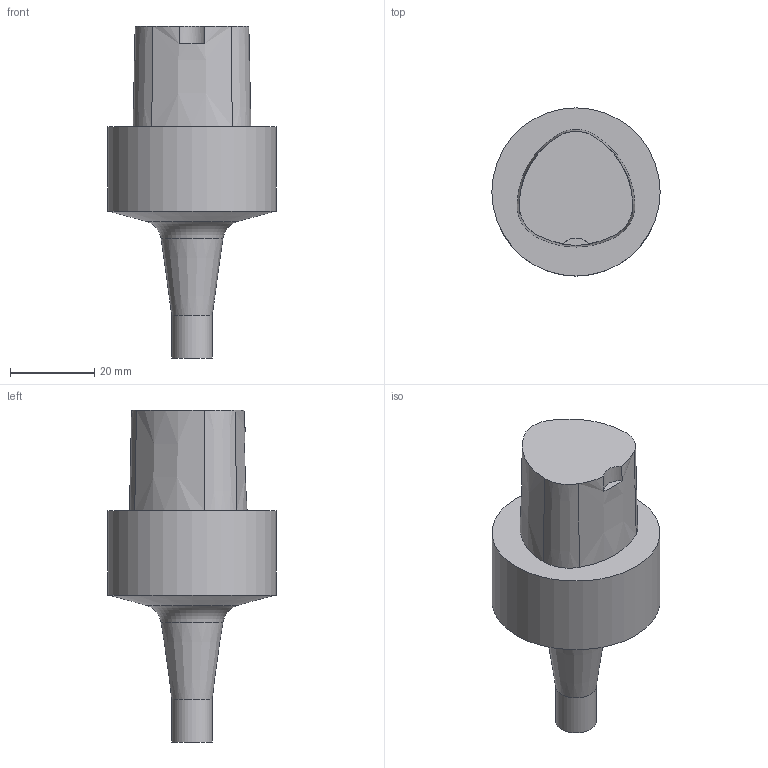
import cadquery as cq
import math

total_height = 78.95
head_height = 24.0
collar_height = 20.0
tip_length = 10.2
collar_top_z = total_height - head_height
cone_top_z = collar_top_z - collar_height

tip_radius = 9.6 / 2
collar_radius = 40.0 / 2
stem_half_angle = math.radians(8.0)
underside_angle = math.radians(15.0)
neck_fillet_radius = 5.0

side_reach = 13.1
lobe_reach = 14.87
side_arc_radius = 20.0
head_draft = 1.2
lobe_count = 3

notch_radius = 4.0
notch_depth = 4.2
notch_axis_offset = 15.0


def turned_body():
    """Tip, tapered stem, filleted neck, conical underside and collar as one revolved shape."""
    stem_slope = math.tan(stem_half_angle)
    underside_slope = math.tan(underside_angle)
    corner_r = (
        tip_radius + stem_slope * (cone_top_z - tip_length - collar_radius * underside_slope)
    ) / (1 - stem_slope * underside_slope)
    corner_z = cone_top_z - (collar_radius - corner_r) * underside_slope

    turn = math.pi / 2 - underside_angle - stem_half_angle
    tangent_length = neck_fillet_radius * math.tan(turn / 2)
    stem_tangent = (
        corner_r - tangent_length * math.sin(stem_half_angle),
        corner_z - tangent_length * math.cos(stem_half_angle),
    )
    underside_tangent = (
        corner_r + tangent_length * math.cos(underside_angle),
        corner_z + tangent_length * math.sin(underside_angle),
    )
    center_r = stem_tangent[0] + neck_fillet_radius * math.cos(stem_half_angle)
    center_z = stem_tangent[1] - neck_fillet_radius * math.sin(stem_half_angle)
    middle_angle = math.pi - stem_half_angle - turn / 2
    fillet_middle = (
        center_r + neck_fillet_radius * math.cos(middle_angle),
        center_z + neck_fillet_radius * math.sin(middle_angle),
    )

    return (
        cq.Workplane("XZ")
        .moveTo(0, 0)
        .lineTo(tip_radius, 0)
        .lineTo(tip_radius, tip_length)
        .lineTo(*stem_tangent)
        .threePointArc(fillet_middle, underside_tangent)
        .lineTo(collar_radius, cone_top_z)
        .lineTo(collar_radius, collar_top_z)
        .lineTo(0, collar_top_z)
        .close()
        .revolve(360, (0, 0, 0), (0, 1, 0))
    )


def polar(radius, angle):
    """Point at a radius and angle around the axis."""
    return (radius * math.cos(angle), radius * math.sin(angle))


def head():
    """Drafted prism whose outline alternates shallow side arcs and tighter tangent lobe arcs."""
    side_center = side_arc_radius - side_reach
    gap = side_arc_radius - lobe_reach
    half_lobe_step = math.pi / lobe_count
    lobe_center = (side_center**2 - gap**2) / (2 * (gap - side_center * math.cos(half_lobe_step)))

    half_side_angle = math.atan2(
        lobe_center * math.sin(half_lobe_step),
        side_center + lobe_center * math.cos(half_lobe_step),
    )
    across = side_arc_radius * math.sin(half_side_angle)
    outward = side_arc_radius * math.cos(half_side_angle) - side_center
    joint_radius = math.hypot(across, outward)
    joint_angle = math.atan2(across, outward)

    first_side = -math.pi / 2
    outline = cq.Workplane("XY", origin=(0, 0, collar_top_z))
    outline = outline.moveTo(*polar(joint_radius, first_side - joint_angle))
    for index in range(lobe_count):
        side = first_side + index * 2 * half_lobe_step
        lobe = side + half_lobe_step
        next_side = lobe + half_lobe_step
        outline = outline.threePointArc(polar(side_reach, side), polar(joint_radius, side + joint_angle))
        outline = outline.threePointArc(
            polar(lobe_reach, lobe), polar(joint_radius, next_side - joint_angle)
        )
    return outline.close().extrude(head_height, taper=head_draft)


def notch():
    """Upright cylinder that scoops the top rim of the head."""
    return (
        cq.Workplane("XY", origin=(0, -notch_axis_offset, total_height - notch_depth))
        .circle(notch_radius)
        .extrude(notch_depth)
    )


result = turned_body().union(head()).cut(notch())